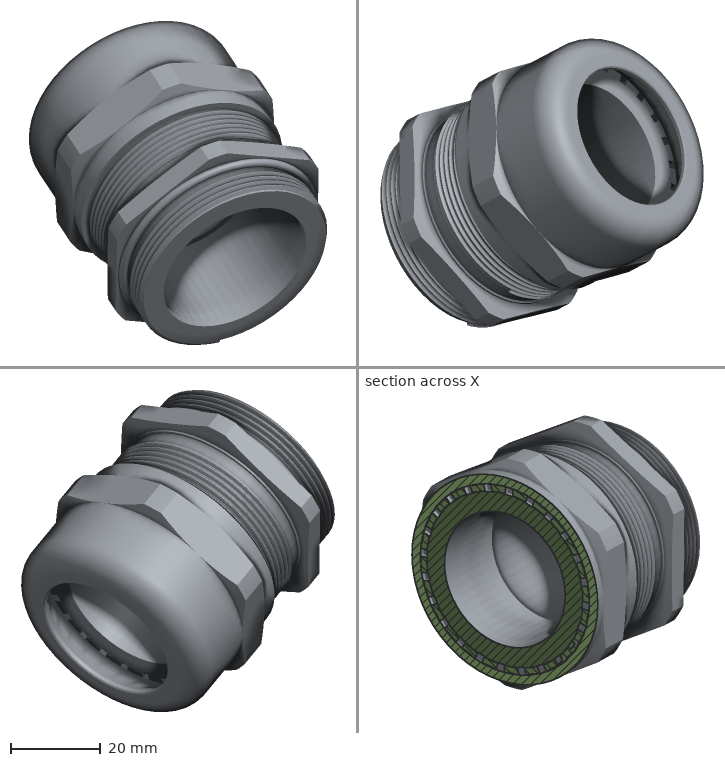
import cadquery as cq
import math


TILT_TO_MINUS_Y = 0.0209
TILT_TO_MINUS_Z = 0.0150

ACROSS_FLATS = 50.0
CORNER_DIAMETER = 55.26
CORE_DIAMETER = 45.25
THREAD_DIAMETER = 47.0
THREAD_PITCH = 1.5
BORE_DIAMETER = 32.26
TOTAL_LENGTH = 58.0

DOME_DIAMETER = 50.0
DOME_FILLET = 5.4
MOUTH_DIAMETER = 32.78
MOUTH_CHAMFER = 0.3
LIP_LENGTH = 1.2
CONE_END = 9.6
NUT_HEX_START = 17.6
NUT_HEX_LENGTH = 9.0
NUT_HEX_END = NUT_HEX_START + NUT_HEX_LENGTH
NUT_HEX_CHAMFER = 1.15
COLLAR_DIAMETER = 49.8
COLLAR_END = 30.85
THREAD_RECESS_START = COLLAR_END - THREAD_PITCH

INSERT_DIAMETER = 41.8
SLOT_COUNT = 24
SLOT_WIDTH = 1.8
SLOT_DEPTH = 6.0
SLOT_ANGLE = 93.0
CAGE_END = 20.0
INSERT_END = 29.0

REAR_BORE_START = 33.0
REAR_BORE_DIAMETER = 35.33
FRONT_THREAD_CORE = 45.69
FRONT_THREAD_START = 30.5
FRONT_THREAD_TURNS = 6.5
FRONT_CORE_END = 40.4
BOSS_DIAMETER = 46.4
BOSS_START = 43.5
BODY_HEX_START = 44.0
BODY_HEX_END = 49.0
BODY_HEX_CONE = 0.75
REAR_THREAD_START = 51.46
REAR_THREAD_TURNS = 4.17
REAR_THREAD_ANGLE = 110.0

RIDGE_BASE = 1.1
RIDGE_CREST = 0.15
RIDGE_OVERLAP = 0.1

RING_DIAMETER = 49.2
RING_END = 50.5
RING_SECTION_RADIUS = (RING_DIAMETER - CORE_DIAMETER) / 4
RING_CENTER = RING_END - RING_SECTION_RADIUS
RING_GROOVE_FLOOR = RING_CENTER - RING_SECTION_RADIUS


def cylinder(diameter, start, end):
    return cq.Workplane("XY").workplane(offset=start).circle(diameter / 2).extrude(end - start)


def tube(outer, inner, start, end):
    return cylinder(outer, start, end).cut(cylinder(inner, start, end))


def revolve(points):
    """Turn a (radius, station) outline about the gland axis."""
    return cq.Workplane("XZ").polyline(points).close().revolve(360, (0, 0, 0), (0, 1, 0))


def hexagon(start, end):
    across_corners = ACROSS_FLATS / math.cos(math.pi / 6)
    return cq.Workplane("XY").workplane(offset=start).polygon(6, across_corners).extrude(end - start)


def thread(core_diameter, start, turns, start_angle):
    """Right-hand helical ridge whose foot is sunk a little into the core."""
    foot_radius = core_diameter / 2 - RIDGE_OVERLAP
    crest_radius = THREAD_DIAMETER / 2
    path = cq.Wire.makeHelix(THREAD_PITCH, turns * THREAD_PITCH, foot_radius)
    ridge = (
        cq.Workplane("XZ")
        .moveTo(foot_radius, -RIDGE_BASE / 2)
        .lineTo(crest_radius, -RIDGE_CREST / 2)
        .lineTo(crest_radius, RIDGE_CREST / 2)
        .lineTo(foot_radius, RIDGE_BASE / 2)
        .close()
        .sweep(cq.Workplane(path), isFrenet=True)
    )
    return ridge.rotate((0, 0, 0), (0, 0, 1), start_angle).translate((0, 0, start))


def make_dome_nut():
    dome = cylinder(DOME_DIAMETER, 0, NUT_HEX_START).faces("<Z").edges().fillet(DOME_FILLET)
    flat_radius = ACROSS_FLATS / 2
    corner_radius = CORNER_DIAMETER / 2
    corner_envelope = revolve([
        (0, NUT_HEX_START),
        (flat_radius, NUT_HEX_START),
        (corner_radius, NUT_HEX_START + NUT_HEX_CHAMFER),
        (corner_radius, NUT_HEX_END - NUT_HEX_CHAMFER),
        (flat_radius, NUT_HEX_END),
        (0, NUT_HEX_END),
    ])
    wrench_hex = hexagon(NUT_HEX_START, NUT_HEX_END).intersect(corner_envelope)
    collar = cylinder(COLLAR_DIAMETER, NUT_HEX_END, COLLAR_END)

    mouth_radius = MOUTH_DIAMETER / 2
    inside_radius = CORE_DIAMETER / 2
    thread_radius = THREAD_DIAMETER / 2
    cavity = revolve([
        (0, 0),
        (mouth_radius + MOUTH_CHAMFER, 0),
        (mouth_radius, MOUTH_CHAMFER),
        (mouth_radius, LIP_LENGTH),
        (inside_radius, CONE_END),
        (inside_radius, THREAD_RECESS_START),
        (thread_radius, THREAD_RECESS_START),
        (thread_radius, COLLAR_END),
        (0, COLLAR_END),
    ])
    return dome.union(wrench_hex).union(collar).cut(cavity)


def make_cage():
    cage = tube(CORE_DIAMETER, INSERT_DIAMETER, CONE_END, CAGE_END)
    slot_length = CORE_DIAMETER - INSERT_DIAMETER + SLOT_WIDTH
    slots = (
        cq.Workplane("XY")
        .workplane(offset=CONE_END)
        .polarArray(CORE_DIAMETER / 2, SLOT_ANGLE, 360, SLOT_COUNT)
        .rect(slot_length, SLOT_WIDTH)
        .extrude(SLOT_DEPTH)
    )
    return cage.cut(slots)


def make_insert():
    return tube(INSERT_DIAMETER, BORE_DIAMETER, CONE_END, INSERT_END)


def make_body():
    core = cylinder(CORE_DIAMETER, CAGE_END, TOTAL_LENGTH)
    front_core = cylinder(FRONT_THREAD_CORE, THREAD_RECESS_START, FRONT_CORE_END)
    boss = cylinder(BOSS_DIAMETER, BOSS_START, BODY_HEX_START)
    corner_envelope = revolve([
        (0, BODY_HEX_START),
        (BOSS_DIAMETER / 2, BODY_HEX_START),
        (CORNER_DIAMETER / 2, BODY_HEX_START + BODY_HEX_CONE),
        (CORNER_DIAMETER / 2, BODY_HEX_END),
        (0, BODY_HEX_END),
    ])
    wrench_hex = hexagon(BODY_HEX_START, BODY_HEX_END).intersect(corner_envelope)
    ring_groove = tube(RING_DIAMETER, CORE_DIAMETER, RING_GROOVE_FLOOR, BODY_HEX_END)
    body = core.union(front_core).union(boss).union(wrench_hex.cut(ring_groove))

    body = body.cut(cylinder(INSERT_DIAMETER, CAGE_END, INSERT_END))
    body = body.cut(cylinder(BORE_DIAMETER, INSERT_END, REAR_BORE_START))
    body = body.cut(cylinder(REAR_BORE_DIAMETER, REAR_BORE_START, TOTAL_LENGTH))

    body = body.union(thread(FRONT_THREAD_CORE, FRONT_THREAD_START, FRONT_THREAD_TURNS, 0))
    body = body.union(thread(CORE_DIAMETER, REAR_THREAD_START, REAR_THREAD_TURNS, REAR_THREAD_ANGLE))
    beyond_rear_face = cylinder(CORNER_DIAMETER, TOTAL_LENGTH, TOTAL_LENGTH + THREAD_PITCH)
    return body.cut(beyond_rear_face)


def make_o_ring():
    pitch_radius = CORE_DIAMETER / 2 + RING_SECTION_RADIUS
    section = cq.Workplane("XZ").center(pitch_radius, RING_CENTER).circle(RING_SECTION_RADIUS)
    return section.revolve(360, (-pitch_radius, 0, 0), (-pitch_radius, 1, 0))


gland_axis = cq.Vector(1, -TILT_TO_MINUS_Y, -TILT_TO_MINUS_Z)
upwards = cq.Vector(TILT_TO_MINUS_Z, 0, 1)
gland_pose = cq.Location(cq.Plane(origin=(0, 0, 0), xDir=upwards, normal=gland_axis))

dome_nut = make_dome_nut()
cage = make_cage()
insert = make_insert()
body = make_body()
o_ring = make_o_ring()

bodies = [dome_nut, cage, insert, body, o_ring]
result = cq.Compound.makeCompound([part.val().moved(gland_pose) for part in bodies])